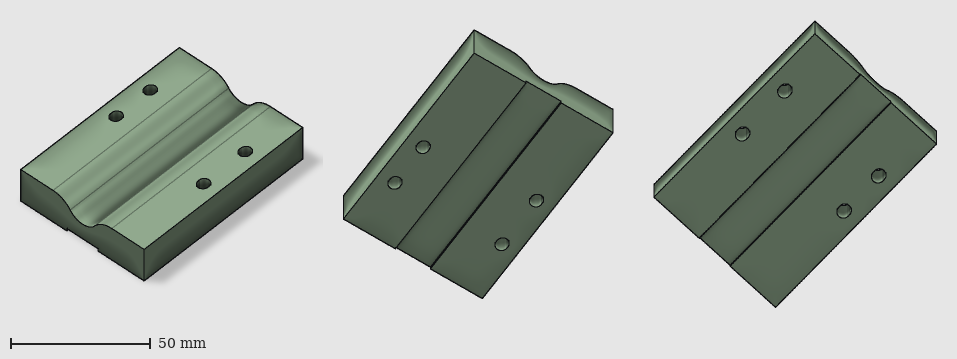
import cadquery as cq
import math

WIDTH = 60.0
LENGTH = 84.0
HEIGHT = 16.0

VALLEY_HALF_WIDTH = 14.3
VALLEY_DEPTH = 7.4
BOTTOM_RADIUS = 7.3

CHANNEL_WIDTH = 15.1
CHANNEL_DEPTH = 1.2

SLOT_WIDTH = 4.7
SLOT_LENGTH = 5.5
SLOT_X = 23.1
BACK_SLOT_Y = 19.1
LEFT_FRONT_SLOT_Y = 1.0
RIGHT_FRONT_SLOT_Y = -3.0


def make_block():
    return cq.Workplane("XY").box(WIDTH, LENGTH, HEIGHT, centered=(True, True, False))


def make_valley():
    turn = 2 * math.atan(VALLEY_DEPTH / VALLEY_HALF_WIDTH)
    shoulder_radius = VALLEY_HALF_WIDTH / math.sin(turn) - BOTTOM_RADIUS
    floor_z = HEIGHT - VALLEY_DEPTH

    join_x = BOTTOM_RADIUS * math.sin(turn)
    join_z = floor_z + BOTTOM_RADIUS * (1 - math.cos(turn))
    shoulder_mid_x = VALLEY_HALF_WIDTH - shoulder_radius * math.sin(turn / 2)
    shoulder_mid_z = HEIGHT - shoulder_radius * (1 - math.cos(turn / 2))

    return (
        cq.Workplane("XZ")
        .moveTo(-VALLEY_HALF_WIDTH, HEIGHT)
        .threePointArc((-shoulder_mid_x, shoulder_mid_z), (-join_x, join_z))
        .threePointArc((0, floor_z), (join_x, join_z))
        .threePointArc((shoulder_mid_x, shoulder_mid_z), (VALLEY_HALF_WIDTH, HEIGHT))
        .close()
        .extrude(LENGTH / 2, both=True)
    )


def make_channel():
    return cq.Workplane("XY").box(CHANNEL_WIDTH, LENGTH, CHANNEL_DEPTH, centered=(True, True, False))


def make_slots():
    centres = [
        (-SLOT_X, BACK_SLOT_Y),
        (SLOT_X, BACK_SLOT_Y),
        (-SLOT_X, LEFT_FRONT_SLOT_Y),
        (SLOT_X, RIGHT_FRONT_SLOT_Y),
    ]
    return cq.Workplane("XY").pushPoints(centres).slot2D(SLOT_LENGTH, SLOT_WIDTH, 90).extrude(HEIGHT)


result = make_block().cut(make_valley()).cut(make_channel()).cut(make_slots())